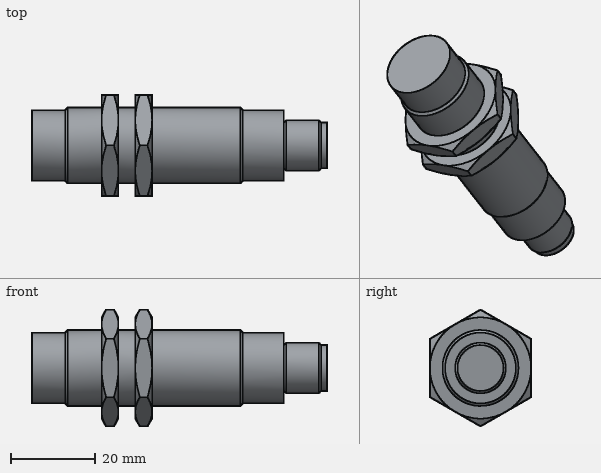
import cadquery as cq
import math

total_length = 70.0
body_radius = 9.0
body_start = 7.85
body_end = 50.05
cap_radius = 8.4
sleeve_end = 59.8
body_chamfer = body_radius - cap_radius

plug_radius = 6.0
tip_radius = 5.45
plug_end = 68.6
plug_chamfer = plug_radius - tip_radius

nut_width = 24.0
nut_thickness = 4.0
nut_pitch = 8.0
first_nut_start = 16.5
nut_count = 2
nut_bevel_angle = 30.0


def cylinder(start, end, radius):
    """Cylinder along X from start to end."""
    return cq.Workplane("YZ").workplane(offset=start).circle(radius).extrude(end - start)


def lock_nut(start):
    """Hexagonal nut with corners on +/-Z and both faces beveled by a cone."""
    face_radius = nut_width / 2
    corner_radius = face_radius / math.cos(math.radians(30))
    bevel_depth = (corner_radius - face_radius) * math.tan(math.radians(nut_bevel_angle))
    hexagon = (
        cq.Workplane("YZ")
        .workplane(offset=start)
        .transformed(rotate=(0, 0, 90))
        .polygon(6, 2 * corner_radius)
        .extrude(nut_thickness)
    )
    end = start + nut_thickness
    bevel_envelope = (
        cq.Workplane("XY")
        .moveTo(start, 0)
        .lineTo(start, face_radius)
        .lineTo(start + bevel_depth, corner_radius)
        .lineTo(end - bevel_depth, corner_radius)
        .lineTo(end, face_radius)
        .lineTo(end, 0)
        .close()
        .revolve(360, (0, 0, 0), (1, 0, 0))
    )
    return hexagon.intersect(bevel_envelope)


cap_and_sleeve = cylinder(0, sleeve_end, cap_radius)
body = cylinder(body_start, body_end, body_radius).faces("<X or >X").chamfer(body_chamfer)
plug = cylinder(sleeve_end, plug_end, plug_radius).faces("<X or >X").chamfer(plug_chamfer)
tip = cylinder(sleeve_end, total_length, tip_radius)
result = cap_and_sleeve.union(body).union(plug).union(tip)

for index in range(nut_count):
    result = result.union(lock_nut(first_nut_start + index * nut_pitch))